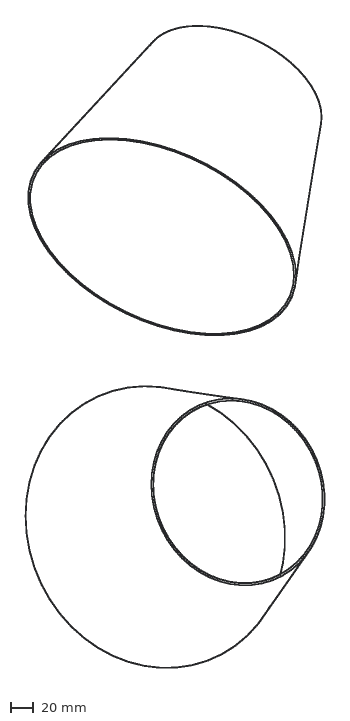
import cadquery as cq

large_diameter = 254.0
small_diameter = 168.5
length = 178.0
wall = 2.0

large_radius = large_diameter / 2
small_radius = small_diameter / 2
large_end_y = 0.0
small_end_y = large_end_y + length

wall_section = (
    cq.Workplane("XY")
    .moveTo(large_radius - wall, large_end_y)
    .lineTo(large_radius, large_end_y)
    .lineTo(small_radius, small_end_y)
    .lineTo(small_radius - wall, small_end_y)
    .close()
)

result = wall_section.revolve(360, (0, 0, 0), (0, 1, 0))